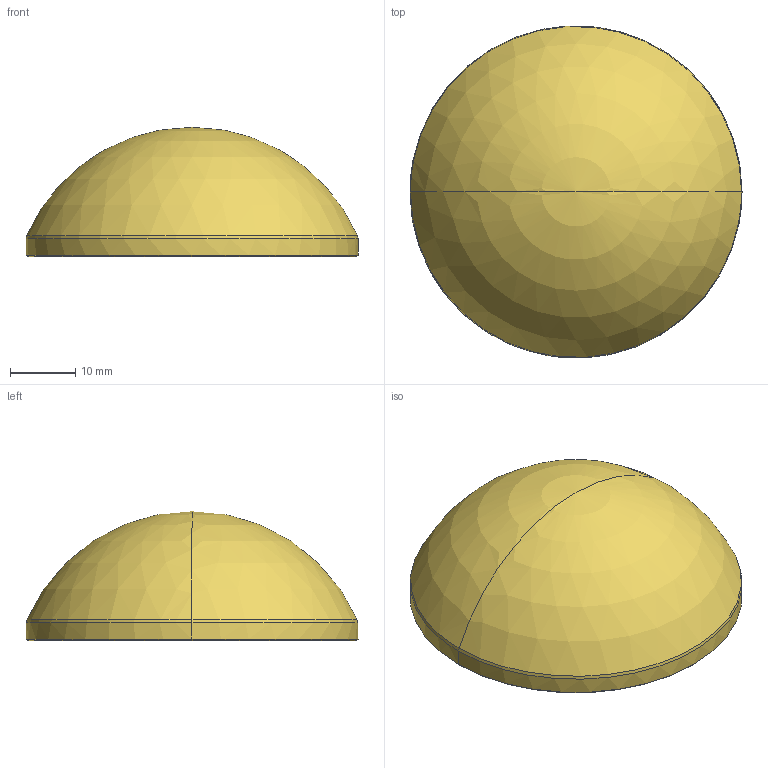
import cadquery as cq
import math

diameter = 50.8
center_thickness = 19.79
dome_radius = 27.6
edge_chamfer = 0.25

rim_radius = diameter / 2
dome_center_z = center_thickness - dome_radius


def dome_height(radius):
    """Height of the dome surface at a given distance from the axis."""
    return dome_center_z + math.sqrt(dome_radius**2 - radius**2)


def half_lens(side):
    """Sharp-edged half lens: the section at +X (side 1) or -X (side -1) turned 180 degrees."""
    rim_x = side * rim_radius
    arc_mid_radius = rim_radius / 2
    section = (
        cq.Workplane("XZ")
        .lineTo(rim_x, 0)
        .lineTo(rim_x, dome_height(rim_radius))
        .threePointArc((side * arc_mid_radius, dome_height(arc_mid_radius)), (0, center_thickness))
        .close()
    )
    return section.revolve(180, (0, 0, 0), (0, 1, 0))


def chamfer_rims(half):
    """Break the upper and lower curved edges of the cylindrical rim."""
    return half.faces("%CYLINDER").edges("%CIRCLE").chamfer(edge_chamfer)


def lens():
    """The whole lens; its two halves meet on the XZ plane."""
    half = chamfer_rims(half_lens(1))
    other_half = chamfer_rims(half_lens(-1))
    return half.union(other_half, clean=False)


result = lens()